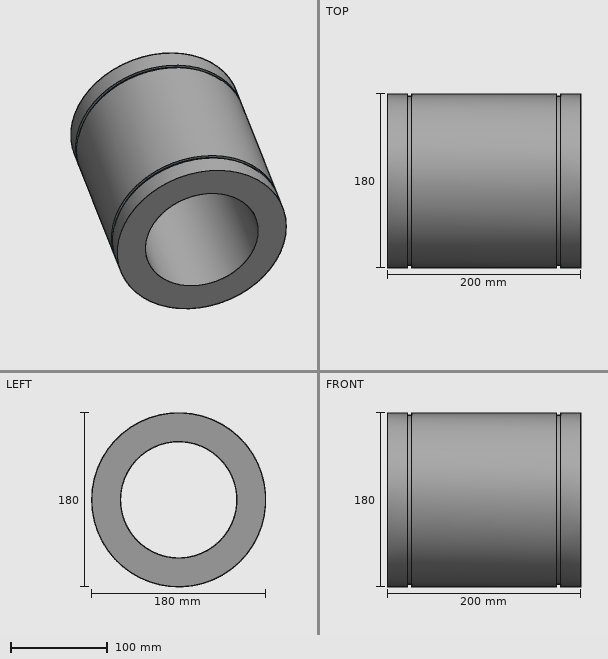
import cadquery as cq

length = 200.0
outer_diameter = 180.0
bore_diameter = 120.0

groove_diameter = 175.0
groove_width = 4.2
end_land = 21.0


def tube(start_x, tube_length, outside, inside):
    """Hollow cylinder along X that begins at start_x."""
    return (
        cq.Workplane("YZ", origin=(start_x, 0, 0))
        .circle(outside / 2)
        .circle(inside / 2)
        .extrude(tube_length)
    )


result = tube(-length / 2, length, outer_diameter, bore_diameter)

groove_starts = (
    -length / 2 + end_land,
    length / 2 - end_land - groove_width,
)
for groove_start in groove_starts:
    result = result.cut(tube(groove_start, groove_width, outer_diameter, groove_diameter))